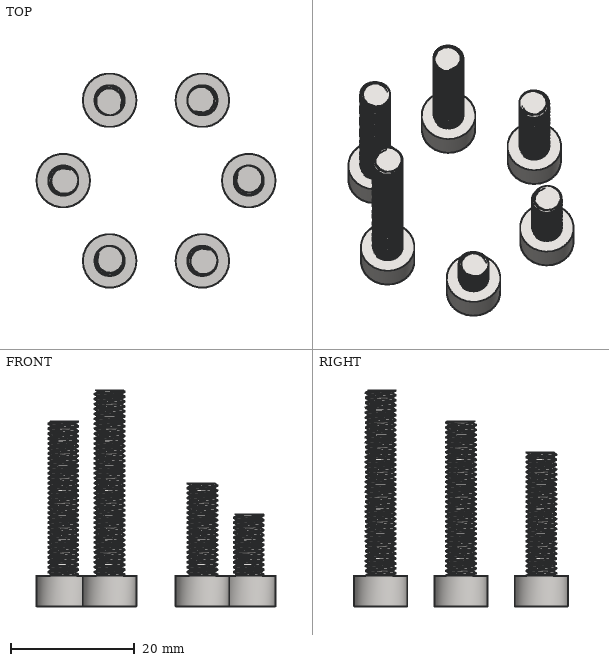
import math

import cadquery as cq

SCREW_COUNT = 6
OVERALL_WIDTH = 38.72
OVERALL_HEIGHT = 35.0
FIRST_SCREW_ANGLE = -120.0

HEAD_DIAMETER = 8.7
HEAD_FILLET = 0.2

CREST_RADIUS = 4.9 / 2
ROOT_RADIUS = 4.0 / 2
FLANK_ANGLE = 30.0
CREST_SHARE = 1 / 8
CREST_START_ANGLE = -90.0
FLANK_SPANS = 8

LENGTH_STEP = OVERALL_HEIGHT / (SCREW_COUNT + 1)
HEAD_HEIGHT = LENGTH_STEP
TURNS_PER_STEP = 6.25
PITCH = LENGTH_STEP / TURNS_PER_STEP
SEGMENTS_PER_STEP = 5
SEGMENT_LENGTH = LENGTH_STEP / SEGMENTS_PER_STEP
SEGMENT_TWIST = 360 * TURNS_PER_STEP / SEGMENTS_PER_STEP
LAYOUT_RADIUS = (OVERALL_WIDTH - HEAD_DIAMETER) / 2

FLANK_SWEEP = 360 * (CREST_RADIUS - ROOT_RADIUS) * math.tan(math.radians(FLANK_ANGLE)) / PITCH
HALF_CREST_SWEEP = 360 * CREST_SHARE / 2


def polar(radius, angle):
    """Point at a radius and an angle in degrees."""
    return (radius * math.cos(math.radians(angle)), radius * math.sin(math.radians(angle)))


def flank_point(share):
    """Point on the spiral flank, from the crest (share 0) to the root (share 1)."""
    radius = CREST_RADIUS + share * (ROOT_RADIUS - CREST_RADIUS)
    return polar(radius, HALF_CREST_SWEEP + share * FLANK_SWEEP)


def mirrored(point):
    """Point reflected across the X axis."""
    return (point[0], -point[1])


def thread_section():
    """Horizontal section of the thread: crest arc, two spiral flanks and root arc."""
    flank = [flank_point(step / FLANK_SPANS) for step in range(FLANK_SPANS + 1)]
    return (
        cq.Workplane("XY")
        .moveTo(*mirrored(flank[0]))
        .threePointArc((CREST_RADIUS, 0), flank[0])
        .spline(flank[1:], includeCurrent=True)
        .threePointArc((-ROOT_RADIUS, 0), mirrored(flank[-1]))
        .spline([mirrored(point) for point in reversed(flank[:-1])], includeCurrent=True)
        .close()
    )


def thread_segment():
    """Right-handed thread a little over one turn long, made by twisting its section upwards."""
    return (
        thread_section()
        .twistExtrude(SEGMENT_LENGTH, SEGMENT_TWIST)
        .rotate((0, 0, 0), (0, 0, 1), CREST_START_ANGLE)
    )


def head():
    """Plain cylindrical head, rounded around its outer end."""
    return (
        cq.Workplane("XY")
        .circle(HEAD_DIAMETER / 2)
        .extrude(HEAD_HEIGHT)
        .faces("<Z")
        .edges()
        .fillet(HEAD_FILLET)
    )


def thread(segment, segment_count):
    """Continuous thread, sewn from the flanks of stacked segments and two flat ends."""
    stack = []
    for index in range(segment_count):
        turned = segment.rotate((0, 0, 0), (0, 0, 1), index * SEGMENT_TWIST)
        stack.append(turned.translate((0, 0, HEAD_HEIGHT + index * SEGMENT_LENGTH)))
    bottom = stack[0].faces("%PLANE").faces("<Z").val()
    top = stack[-1].faces("%PLANE").faces(">Z").val()
    faces = [bottom, top]
    for piece in stack:
        faces.extend(piece.faces("not %PLANE").vals())
    return cq.Workplane(cq.Solid.makeSolid(cq.Shell.makeShell(faces)))


def screw(segment, segment_count):
    """One cap screw standing on its head."""
    return head().union(thread(segment, segment_count), clean=False)


segment = thread_segment()
screws = []
for index in range(SCREW_COUNT):
    x, y = polar(LAYOUT_RADIUS, FIRST_SCREW_ANGLE - index * 360 / SCREW_COUNT)
    segment_count = (SCREW_COUNT - index) * SEGMENTS_PER_STEP
    placed_screw = screw(segment, segment_count).translate((x, y, 0))
    screws.extend(placed_screw.solids().vals())

result = cq.Compound.makeCompound(screws)